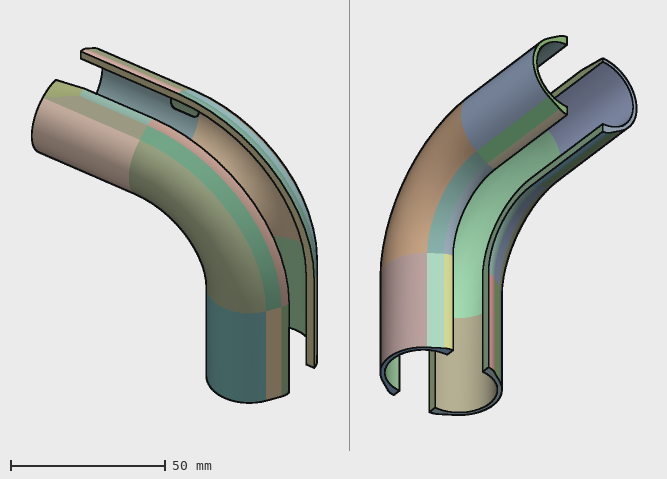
import cadquery as cq
import math


BORE_RADIUS = 12.5
PIPE_RADIUS = 14.0
LIP_HEIGHT = 15.6
LIP_SLOPE = math.radians(33.0)

LEG_LENGTH = 38.0
OVERALL_SIZE = 91.28
BEND_RADIUS = OVERALL_SIZE - LEG_LENGTH - LIP_HEIGHT
AXIS_HEIGHT = LEG_LENGTH + BEND_RADIUS

OVERALL_WIDTH = 42.79
SPLIT_Y = OVERALL_WIDTH / 2 - PIPE_RADIUS
FRONT_SHIFT_X = 0.21

RELIEF_LENGTH = 11.3
RELIEF_CLEARANCE = 3.0

LABEL_START_X = 26.9
LABEL_LENGTH = 10.8
LABEL_HEIGHT = 7.2
LABEL_CORNER = 2.0
LABEL_DEPTH = 0.2

COS_SLOPE = math.cos(LIP_SLOPE)
LIP_ROUND = (PIPE_RADIUS - LIP_HEIGHT * COS_SLOPE) / (1 - COS_SLOPE)
ROUND_CENTER_HEIGHT = LIP_HEIGHT - LIP_ROUND


def on_lip_round(angle):
    """Point on the lip rounding, at an angle measured from the crest."""
    return (
        LIP_ROUND * math.sin(angle),
        ROUND_CENTER_HEIGHT + LIP_ROUND * math.cos(angle),
    )


def on_pipe(angle):
    """Point on the round pipe, at an angle measured from the crest."""
    return (PIPE_RADIUS * math.sin(angle), PIPE_RADIUS * math.cos(angle))


FLANK_FOOT = on_pipe(LIP_SLOPE)
FLANK_TOP = on_lip_round(LIP_SLOPE)
ROUND_MIDDLE = on_lip_round(LIP_SLOPE / 2)


def below(point):
    """The same point on the lower side of the pipe axis."""
    return (point[0], -point[1])


def half_section():
    """Half ring with a lip at each split edge, at the open end of the level leg."""
    return (
        cq.Workplane("YZ", origin=(0, 0, AXIS_HEIGHT))
        .moveTo(0, BORE_RADIUS)
        .lineTo(0, LIP_HEIGHT)
        .threePointArc(ROUND_MIDDLE, FLANK_TOP)
        .lineTo(*FLANK_FOOT)
        .threePointArc((PIPE_RADIUS, 0), below(FLANK_FOOT))
        .lineTo(*below(FLANK_TOP))
        .threePointArc(below(ROUND_MIDDLE), (0, -LIP_HEIGHT))
        .lineTo(0, -BORE_RADIUS)
        .threePointArc((BORE_RADIUS, 0), (0, BORE_RADIUS))
        .close()
    )


def half_shell():
    """Plain half elbow on the +Y side of the plane Y = 0."""
    bend_end = (LEG_LENGTH + BEND_RADIUS, LEG_LENGTH)
    bend_middle = (
        LEG_LENGTH + BEND_RADIUS * math.sin(math.pi / 4),
        LEG_LENGTH + BEND_RADIUS * math.cos(math.pi / 4),
    )
    axis = (
        cq.Workplane("XZ")
        .moveTo(0, AXIS_HEIGHT)
        .lineTo(LEG_LENGTH, AXIS_HEIGHT)
        .threePointArc(bend_middle, bend_end)
        .lineTo(bend_end[0], 0)
    )
    return half_section().sweep(axis)


def lip_relief():
    """Cutter that tapers the lip down to the round pipe at the open end."""
    top = (0, LIP_HEIGHT + RELIEF_CLEARANCE)
    return (
        cq.Workplane("YZ", origin=(0, 0, AXIS_HEIGHT))
        .moveTo(0, PIPE_RADIUS)
        .threePointArc(on_pipe(LIP_SLOPE / 2), FLANK_FOOT)
        .lineTo(*top)
        .close()
        .workplane(offset=RELIEF_LENGTH)
        .moveTo(0, LIP_HEIGHT)
        .threePointArc(ROUND_MIDDLE, FLANK_TOP)
        .lineTo(*top)
        .close()
        .loft(ruled=True)
    )


def label_recess():
    """Rounded rectangle sunk by an even depth into the middle of the bore wall."""
    outline = (
        cq.Workplane("XZ", origin=(LABEL_START_X + LABEL_LENGTH / 2, 0, AXIS_HEIGHT))
        .rect(LABEL_LENGTH, LABEL_HEIGHT)
        .extrude(-PIPE_RADIUS)
        .edges("|Y")
        .fillet(LABEL_CORNER)
    )
    floor = (
        cq.Workplane("YZ", origin=(0, 0, AXIS_HEIGHT))
        .circle(BORE_RADIUS + LABEL_DEPTH)
        .extrude(LEG_LENGTH)
    )
    return outline.intersect(floor)


rear_shell = half_shell().cut(label_recess()).translate((0, SPLIT_Y, 0))

front_shell = (
    half_shell()
    .cut(lip_relief())
    .mirror("XZ")
    .translate((FRONT_SHIFT_X, -SPLIT_Y, 0))
)

result = cq.Compound.makeCompound([rear_shell.solids().val(), front_shell.solids().val()])